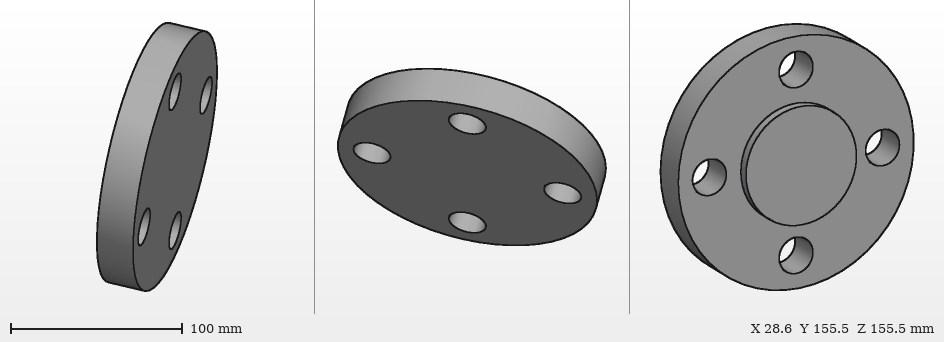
import cadquery as cq

flange_diameter = 155.5
flange_thickness = 22.2
face_diameter = 73.0
face_height = 6.4
bolt_circle_diameter = 114.3
bolt_hole_diameter = 22.2
bolt_count = 4


def disc(diameter, start_x, thickness):
    """Solid disc centred on the X axis, growing toward +X from start_x."""
    return cq.Workplane("YZ", origin=(start_x, 0, 0)).circle(diameter / 2).extrude(thickness)


def bolt_holes():
    """Through-hole cutters evenly spaced on the bolt circle, the first on +Y."""
    return (
        cq.Workplane("YZ")
        .polarArray(bolt_circle_diameter / 2, 0, 360, bolt_count)
        .circle(bolt_hole_diameter / 2)
        .extrude(flange_thickness)
    )


flange = disc(flange_diameter, 0, flange_thickness)
raised_face = disc(face_diameter, -face_height, face_height)

result = flange.union(raised_face).cut(bolt_holes())